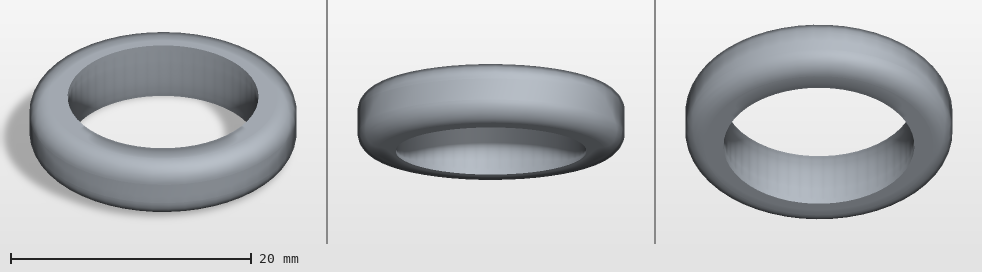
import cadquery as cq

outer_diameter = 22.23
bore_diameter = 15.87
height = 4.98
wall = (outer_diameter - bore_diameter) / 2
edge_radius = wall / 2

disc = cq.Workplane("XY").circle(outer_diameter / 2).extrude(height)
rounded_disc = disc.edges("%CIRCLE").fillet(edge_radius)

result = rounded_disc.faces(">Z").workplane().hole(bore_diameter)